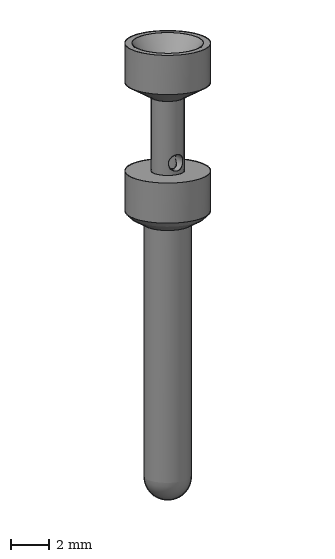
import cadquery as cq
import math

total_length = 25.0
flange_radius = 2.25
neck_radius = 0.875
shaft_radius = 1.25

head_depth = 2.15
collar_top_depth = 7.0
collar_bottom_depth = 9.2
collar_chamfer = 0.3
taper_angle = math.radians(30)

funnel_radius = 1.875
funnel_depth = head_depth
bore_radius = 0.45
bore_depth = collar_top_depth
drill_tip_angle = math.radians(59)
inspection_radius = 0.45
inspection_depth = 6.35

top_z = total_length


def taper_height(outer_radius, inner_radius):
    """Height of a taper that narrows from one radius to the other."""
    return (outer_radius - inner_radius) * math.tan(taper_angle)


def pin_body():
    """Turned outside shape, revolved from its half outline in the XZ plane."""
    head_bottom_z = top_z - head_depth
    collar_bottom_z = top_z - collar_bottom_depth
    chamfer_radius = flange_radius - collar_chamfer
    chamfer_z = collar_bottom_z - collar_chamfer
    tip_mid = shaft_radius * math.sqrt(0.5)
    return (
        cq.Workplane("XZ")
        .moveTo(0, top_z)
        .lineTo(flange_radius, top_z)
        .lineTo(flange_radius, head_bottom_z)
        .lineTo(neck_radius, head_bottom_z - taper_height(flange_radius, neck_radius))
        .lineTo(neck_radius, top_z - collar_top_depth)
        .lineTo(flange_radius, top_z - collar_top_depth)
        .lineTo(flange_radius, collar_bottom_z)
        .lineTo(chamfer_radius, chamfer_z)
        .lineTo(shaft_radius, chamfer_z - taper_height(chamfer_radius, shaft_radius))
        .lineTo(shaft_radius, shaft_radius)
        .threePointArc((tip_mid, shaft_radius - tip_mid), (0, 0))
        .close()
        .revolve(360, (0, 0, 0), (0, 1, 0))
    )


def conductor_entry():
    """Funnel in the top face leading into a drilled bore that reaches the inspection hole."""
    bore_bottom_z = top_z - bore_depth
    drill_tip_z = bore_bottom_z - bore_radius / math.tan(drill_tip_angle)
    return (
        cq.Workplane("XZ")
        .moveTo(0, top_z)
        .lineTo(funnel_radius, top_z)
        .lineTo(bore_radius, top_z - funnel_depth)
        .lineTo(bore_radius, bore_bottom_z)
        .lineTo(0, drill_tip_z)
        .close()
        .revolve(360, (0, 0, 0), (0, 1, 0))
    )


def inspection_hole():
    """Cross hole from the +X side of the neck into the bore."""
    return (
        cq.Workplane("YZ")
        .center(0, top_z - inspection_depth)
        .circle(inspection_radius)
        .extrude(flange_radius)
    )


result = pin_body().cut(conductor_entry()).cut(inspection_hole())